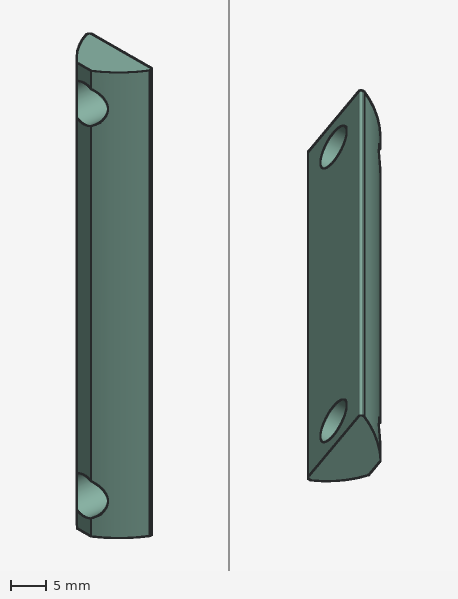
import cadquery as cq
import math

width = 13.7
depth = 7.0
length = 76.0

front_flat_width = 3.05
side_height = 0.7
flank_bulge = 0.5
back_edge_radius = 0.4

hole_diameter = 6.8
hole_end_distance = 6.0

back_y = depth / 2
front_y = -depth / 2
side_x = width / 2
side_y = back_y - side_height
flat_x = front_flat_width / 2

chord_x = side_x - flat_x
chord_y = side_y - front_y
chord_length = math.hypot(chord_x, chord_y)
flank_x = (side_x + flat_x) / 2 + flank_bulge * chord_y / chord_length
flank_y = (side_y + front_y) / 2 - flank_bulge * chord_x / chord_length


def make_bar():
    """Extrude the cross-section along Z, centred on the origin."""
    return (
        cq.Workplane("XY")
        .workplane(offset=-length / 2)
        .moveTo(-side_x, back_y)
        .lineTo(side_x, back_y)
        .lineTo(side_x, side_y)
        .threePointArc((flank_x, flank_y), (flat_x, front_y))
        .lineTo(-flat_x, front_y)
        .threePointArc((-flank_x, flank_y), (-side_x, side_y))
        .close()
        .extrude(length)
        .faces(">Y")
        .edges("|Z")
        .fillet(back_edge_radius)
    )


def make_holes():
    """Cylinders along Y that cut from the front flat through the back."""
    hole_z = length / 2 - hole_end_distance
    return (
        cq.Workplane("XZ")
        .pushPoints([(0, hole_z), (0, -hole_z)])
        .circle(hole_diameter / 2)
        .extrude(depth, both=True)
    )


result = make_bar().cut(make_holes())